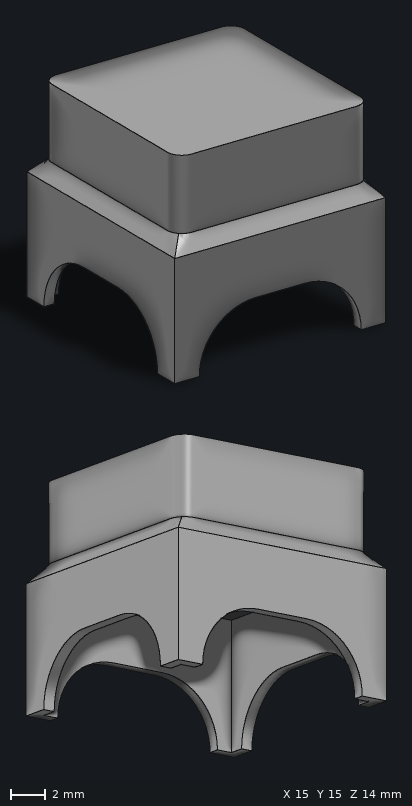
import cadquery as cq
import math

base_side = 15.0
base_height = 8.0
taper_height = 1.0
total_height = 14.0
block_side = 13.7
block_corner_radius = 1.0
wall = 0.75
leg_width = 1.75
arch_height = 4.0

block_bottom = base_height + taper_height
block_height = total_height - block_bottom
cavity_side = base_side - 2 * wall
arch_half_span = base_side / 2 - leg_width
block_flat_half = block_side / 2 - block_corner_radius
crown_half_width = arch_half_span - arch_height


def quarter_turn(point, turns):
    """Turn an (x, y) point about the Z axis by whole quarter turns."""
    x, y = point
    for _ in range(turns):
        x, y = -y, x
    return (x, y)


def split_square(profile):
    """Sharp-cornered skirt outline, split where the block corners start and end."""
    half_side = base_side / 2
    flat_half = block_flat_half * base_side / block_side
    profile = profile.moveTo(half_side, -flat_half)
    for turns in range(4):
        for point in ((half_side, flat_half), (half_side, half_side), (flat_half, half_side)):
            profile = profile.lineTo(*quarter_turn(point, turns))
    return profile.close()


def split_rounded_square(profile):
    """Rounded block outline, with each corner arc split at its middle."""
    half_side = block_side / 2

    half_arc = math.pi / 4

    def arc_point(angle):
        return (
            block_flat_half + block_corner_radius * math.cos(angle),
            block_flat_half + block_corner_radius * math.sin(angle),
        )

    profile = profile.moveTo(half_side, -block_flat_half)
    for turns in range(4):
        profile = profile.lineTo(*quarter_turn((half_side, block_flat_half), turns))
        for start in (0, half_arc):
            middle = quarter_turn(arc_point(start + half_arc / 2), turns)
            end = quarter_turn(arc_point(start + half_arc), turns)
            profile = profile.threePointArc(middle, end)
    return profile.close()


def arch_cutter(plane):
    """Flat-topped arch running through the whole skirt, normal to the plane."""
    return (
        cq.Workplane(plane)
        .moveTo(-arch_half_span, 0)
        .radiusArc((-crown_half_width, arch_height), arch_height)
        .lineTo(crown_half_width, arch_height)
        .radiusArc((arch_half_span, 0), arch_height)
        .close()
        .extrude(base_side / 2, both=True)
    )


skirt = cq.Workplane("XY").rect(base_side, base_side).rect(cavity_side, cavity_side).extrude(base_height)

for plane in ("XZ", "YZ"):
    skirt = skirt.cut(arch_cutter(plane))

taper_start = split_square(cq.Workplane("XY", origin=(0, 0, base_height)))
taper = split_rounded_square(taper_start.workplane(offset=taper_height)).loft(ruled=True)

block = (
    cq.Workplane("XY", origin=(0, 0, block_bottom))
    .rect(block_side, block_side)
    .extrude(block_height)
    .edges("|Z")
    .fillet(block_corner_radius)
)

result = skirt.union(taper).union(block)